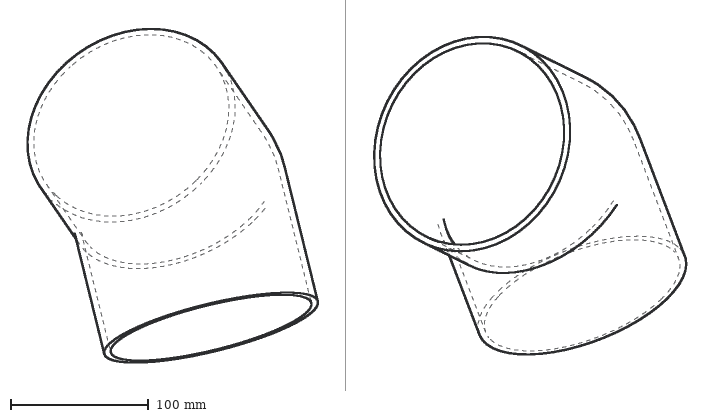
import cadquery as cq
import math

outer_diameter = 160.0
bore_diameter = 150.2
leg_length = 103.0
bend_angle = 45.0

bend = math.radians(bend_angle)
knee_centre = cq.Vector(0, 0, 0)
inlet_direction = cq.Vector(-1, 0, 0)
outlet_direction = cq.Vector(math.cos(bend), 0, -math.sin(bend))


def leg(diameter, direction):
    """Solid cylinder from the knee centre out to one open end."""
    return cq.Workplane(cq.Solid.makeCylinder(diameter / 2, leg_length, knee_centre, direction))


def knee(diameter):
    """Ball that rounds the outside of the bend."""
    return cq.Workplane("XY").sphere(diameter / 2)


def elbow_body(diameter):
    """Two legs joined by the ball, filled solid."""
    inlet = leg(diameter, inlet_direction)
    outlet = leg(diameter, outlet_direction)
    return inlet.union(outlet).union(knee(diameter))


result = elbow_body(outer_diameter).cut(elbow_body(bore_diameter))